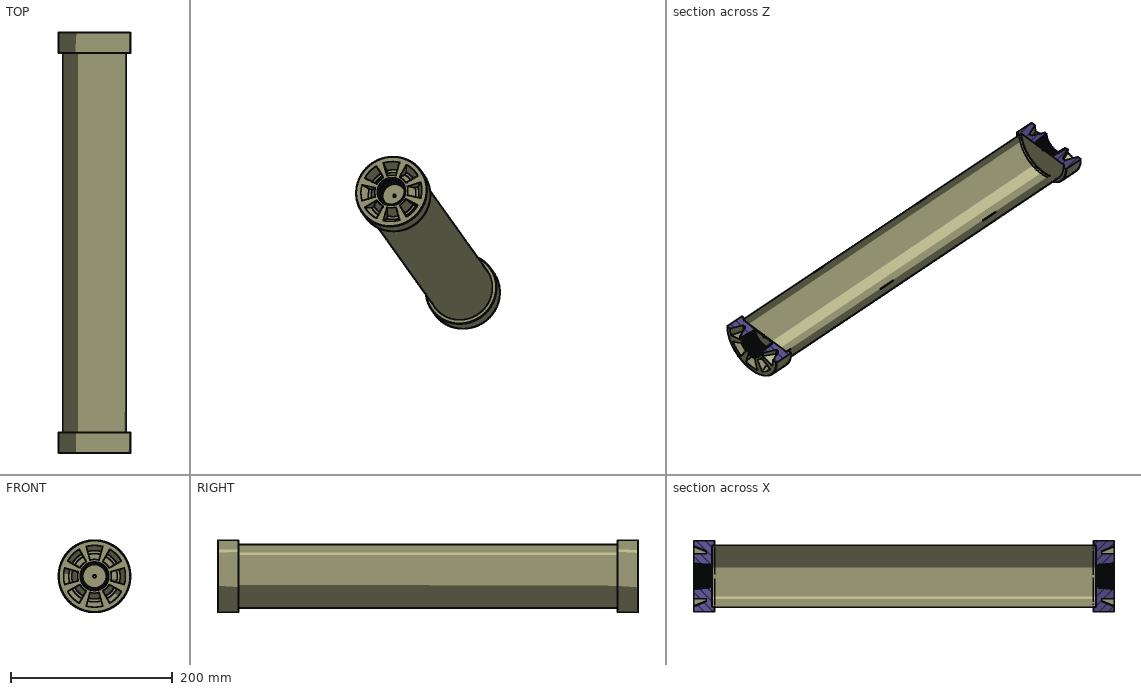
import cadquery as cq

overall_length = 520.5
cap_diameter = 89.5
cap_length = 26.0
cap_rim_chamfer = 0.8

tube_diameter = 79.0
tube_bore = 76.5

end_wall = 23.0

window_count = 8
window_angle = 31.0
window_outer_radius = tube_bore / 2
window_inner_radius = 21.0
floor_outer_radius = 32.0
floor_inner_radius = 28.0
window_depth = 15.5

port_mouth_diameter = 32.5
port_floor_diameter = 29.0
port_depth = 21.0
thread_pitch = 2.0
thread_height = 1.5
thread_flat = thread_pitch / 4

orifice_diameter = 3.0


def revolved(points):
    """Turn an outline of (radius, distance along the axis) points about the axis, which is Y."""
    return cq.Workplane("XY").polyline(points).close().revolve(360, (0, 0, 0), (0, 1, 0))


def window_cutters():
    """Wedges whose outer and inner walls lean towards each other with depth."""
    profile = (
        cq.Workplane("XY")
        .polyline([
            (window_inner_radius, 0),
            (window_outer_radius, 0),
            (floor_outer_radius, window_depth),
            (floor_inner_radius, window_depth),
        ])
        .close()
    )
    wedge = profile.revolve(window_angle, (0, 0, 0), (0, 1, 0))
    wedge = wedge.rotate((0, 0, 0), (0, 1, 0), -window_angle / 2)
    pitch = 360 / window_count
    return [wedge.rotate((0, 0, 0), (0, 1, 0), index * pitch) for index in range(window_count)]


def port_crest_radius(depth):
    """Radius of the thread crests, which narrow from the mouth to the floor."""
    narrowing = (port_mouth_diameter - port_floor_diameter) / 2
    return port_mouth_diameter / 2 - narrowing * depth / port_depth


def port_cutter():
    """Blind tapered port with one flat-bottomed groove for every thread turn."""
    outline = [(0, 0)]
    for turn in range(round(port_depth / thread_pitch)):
        start = turn * thread_pitch
        crest = port_crest_radius(start)
        root = crest + thread_height
        outline.append((root, start))
        outline.append((root, start + thread_flat))
        outline.append((crest, start + 2 * thread_flat))
        outline.append((crest, start + 3 * thread_flat))
    outline.append((port_floor_diameter / 2, port_depth))
    outline.append((0, port_depth))
    return revolved(outline)


def make_cap():
    """Cap with its outer face at Y = 0 and its socket opening towards +Y."""
    cap = cq.Workplane("XZ").circle(cap_diameter / 2).extrude(-cap_length)
    cap = cap.edges().chamfer(cap_rim_chamfer)
    socket = (
        cq.Workplane("XZ", origin=(0, end_wall, 0))
        .circle(tube_diameter / 2)
        .extrude(-cap_length)
    )
    orifice = cq.Workplane("XZ").circle(orifice_diameter / 2).extrude(-cap_length)
    cap = cap.cut(socket).cut(port_cutter()).cut(orifice)
    for cutter in window_cutters():
        cap = cap.cut(cutter)
    return cap


def make_tube():
    """Plain tube reaching the bottoms of both cap sockets."""
    start = end_wall - overall_length / 2
    return (
        cq.Workplane("XZ", origin=(0, start, 0))
        .circle(tube_diameter / 2)
        .circle(tube_bore / 2)
        .extrude(2 * start)
    )


tube = make_tube()
near_cap = make_cap().translate((0, -overall_length / 2, 0))
caps = [near_cap.rotate((0, 0, 0), (0, 0, 1), turn) for turn in (0, 180)]

result = cq.Compound.makeCompound([tube.val(), *[cap.val() for cap in caps]])